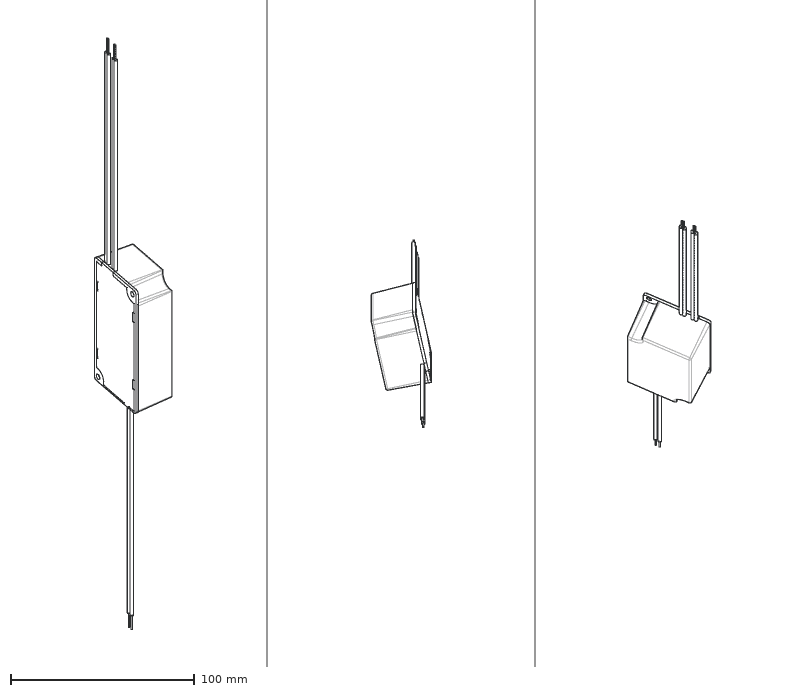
import cadquery as cq

HOUSING_WIDTH = 40.0
HOUSING_HEIGHT = 83.0
HOUSING_DEPTH = 25.0
DRAFT_ANGLE = 2.0
CORNER_RADIUS = 2.0
BACK_FILLET = 1.0

EAR_THICKNESS = 1.5
EAR_INSET = 3.5
EAR_HOLE_DIAMETER = 3.0
NOTCH_RADIUS = 5.5
NOTCH_EDGE_RADIUS = 1.0

COVER_THICKNESS = 1.5
SIDE_RIM = 2.0
TOP_RIM = 2.5
BOTTOM_RIM = 1.0
SNAP_SLOT_HEIGHT = 6.0
SNAP_SLOT_DEPTH = 1.0
SNAP_SLOT_OFFSET = 22.8

TOP_WIRE_LENGTH = 151.5
BOTTOM_WIRE_LENGTH = 151.0
WIRE_DIAMETER = 2.05
WIRE_Y = 2.7
STRAND_DIAMETER = 0.93
STRIPPED_LENGTH = 9.5
WIRE_SEAT_DEPTH = 2.5
TWIN_PITCH = 2.0
TWIN_STRAND_PITCH = 0.9
TWIN_CABLE_XS = (-11.0, -4.2)
WIRE_PAIR_X = 10.8
WIRE_PAIR_PITCH = 2.5

half_width = HOUSING_WIDTH / 2
half_height = HOUSING_HEIGHT / 2
ear_x = half_width - EAR_INSET
ear_z = half_height - EAR_INSET
top_tip = half_height + TOP_WIRE_LENGTH
bottom_tip = -half_height - BOTTOM_WIRE_LENGTH
wire_seat = half_height - WIRE_SEAT_DEPTH
wire_radius = WIRE_DIAMETER / 2
strand_radius = STRAND_DIAMETER / 2
wire_pair_xs = [WIRE_PAIR_X - WIRE_PAIR_PITCH / 2, WIRE_PAIR_X + WIRE_PAIR_PITCH / 2]
twin_half_width = TWIN_PITCH / 2 + wire_radius


def plate(width, height, thickness, center_x=0, center_z=0):
    """Flat rectangular plate rising from the Y = 0 plane."""
    return cq.Workplane("XZ").center(center_x, center_z).rect(width, height).extrude(-thickness)


def rod(x, radius, z_start, z_end):
    """Round rod parallel to Z at the depth shared by all wires."""
    outline = cq.Workplane("XY", origin=(x, WIRE_Y, z_start)).circle(radius)
    return outline.extrude(z_end - z_start)


def notched_outline():
    """Housing outline with rounded notches in the (+X, +Z) and (-X, -Z) corners."""
    outline = cq.Workplane("XZ").moveTo(-half_width + CORNER_RADIUS, half_height)
    for side in (1, -1):
        edge = side * NOTCH_EDGE_RADIUS
        notch = side * NOTCH_RADIUS
        corner = side * CORNER_RADIUS
        center_x = side * ear_x
        center_z = side * ear_z
        right = side * half_width
        top = side * half_height
        outline = (
            outline.lineTo(center_x - notch - edge, top)
            .tangentArcPoint((edge, -edge))
            .lineTo(center_x - notch, center_z)
            .tangentArcPoint((notch, -notch))
            .lineTo(right - edge, center_z - notch)
            .tangentArcPoint((edge, -edge))
            .lineTo(right, -top + corner)
            .tangentArcPoint((-corner, -corner))
        )
    return outline.close()


def make_cover_blank():
    """Cover with tabs over the wire exits, before the snap slots are cut."""
    center_z = (BOTTOM_RIM - TOP_RIM) / 2
    height = HOUSING_HEIGHT - BOTTOM_RIM - TOP_RIM
    cover = plate(HOUSING_WIDTH - 2 * SIDE_RIM, height, COVER_THICKNESS, 0, center_z)
    cover = cover.intersect(notched_outline().extrude(-COVER_THICKNESS))

    twin_tab_width = TWIN_CABLE_XS[1] - TWIN_CABLE_XS[0] + 2 * twin_half_width
    twin_tab_x = sum(TWIN_CABLE_XS) / 2
    cover = cover.union(plate(twin_tab_width, half_height, COVER_THICKNESS, twin_tab_x, half_height / 2))
    pair_tab_width = WIRE_PAIR_PITCH + WIRE_DIAMETER
    return cover.union(plate(pair_tab_width, half_height, COVER_THICKNESS, WIRE_PAIR_X, -half_height / 2))


def cut_snap_slots(cover):
    """Cover with two shallow slots in each long edge."""
    slot_x = half_width - SIDE_RIM - SNAP_SLOT_DEPTH / 2
    for x in (-slot_x, slot_x):
        for z in (-SNAP_SLOT_OFFSET, SNAP_SLOT_OFFSET):
            cover = cover.cut(plate(SNAP_SLOT_DEPTH, SNAP_SLOT_HEIGHT, COVER_THICKNESS, x, z))
    return cover


def make_twin_cable(x):
    """Two fused jackets side by side with two bared strands."""
    jacket_end = top_tip - STRIPPED_LENGTH
    cable = cq.Workplane("XY")
    for side in (-1, 1):
        cable = cable.add(rod(x + side * TWIN_PITCH / 2, wire_radius, wire_seat, jacket_end))
        cable = cable.add(rod(x + side * TWIN_STRAND_PITCH / 2, strand_radius, jacket_end, top_tip))
    return cable.combine()


def make_single_wire(x):
    """One round jacket with a thinner bared strand at its lower end."""
    jacket_end = bottom_tip + STRIPPED_LENGTH
    jacket = rod(x, wire_radius, jacket_end, -wire_seat)
    return jacket.union(rod(x, strand_radius, bottom_tip, jacket_end))


def make_housing(inserts):
    """Notched block with full-outline ears, recessed for the inserted bodies."""
    housing = notched_outline().extrude(-HOUSING_DEPTH, taper=DRAFT_ANGLE)
    housing = housing.faces(">Y").edges().fillet(BACK_FILLET)

    ears = plate(HOUSING_WIDTH, HOUSING_HEIGHT, EAR_THICKNESS).edges("|Y").fillet(CORNER_RADIUS)
    holes = cq.Workplane("XZ").pushPoints([(ear_x, ear_z), (-ear_x, -ear_z)])
    holes = holes.circle(EAR_HOLE_DIAMETER / 2).extrude(-EAR_THICKNESS)
    housing = housing.union(ears).cut(holes)
    for insert in inserts:
        housing = housing.cut(insert)
    return housing


cover_blank = make_cover_blank()
cover = cut_snap_slots(cover_blank)
twin_cables = [make_twin_cable(x) for x in TWIN_CABLE_XS]
single_wires = [make_single_wire(x) for x in wire_pair_xs]
housing = make_housing([cover_blank, *twin_cables, *single_wires])

result = cq.Compound.makeCompound([
    housing.val(),
    cover.val(),
    *[cable.val() for cable in twin_cables],
    *[wire.val() for wire in single_wires],
])